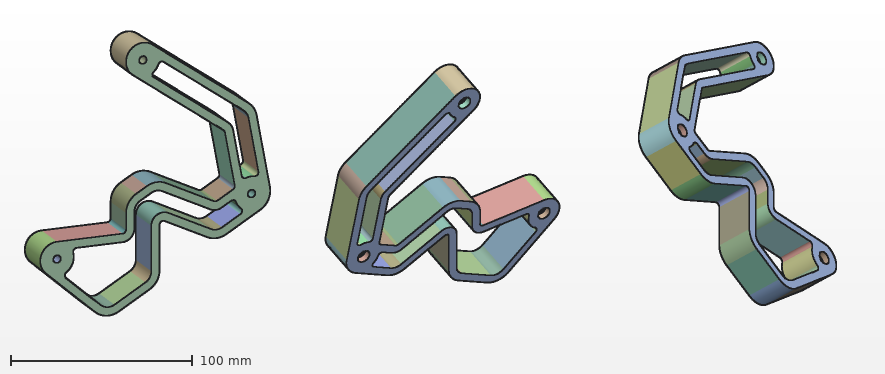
import cadquery as cq
import math


thickness = 22.5
wall = 5.0
boss_radius = 10.0
window_half = boss_radius - wall

pivot_boss = (0.0, 0.0)
arm_boss = (64.6, 84.8)
foot_boss = (115.58, -23.84)
boss_centres = [pivot_boss, arm_boss, foot_boss]

hole_diameter = 4.4
counterbore_diameter = 7.5
counterbore_depth = 4.2

inner_bend = 2.0
middle_bend = inner_bend + wall
outer_bend = middle_bend + wall
window_end_radius = 2.0
match_tolerance = 0.001
square = 0.0


def run_through(point, heading):
    """Run with the given heading that passes through a point."""
    angle = math.radians(heading)
    offset = point[1] * math.cos(angle) - point[0] * math.sin(angle)
    return (heading, offset)


def shifted(run, distance):
    """Parallel run moved to the left of the heading."""
    return (run[0], run[1] + distance)


ramp_heading = -30.0
pivot_inset = 1.25

arm = run_through(arm_boss, 35.4)
upright = (79.45, pivot_inset)
ramp = (ramp_heading, -pivot_inset)
climb = (26.0, -21.33)
crest = (ramp_heading, 31.32)
drop = run_through(arm_boss, -90.0)
shelf = run_through(foot_boss, 0.0)
brace = run_through(foot_boss, 41.44)

upright_end = run_through(pivot_boss, upright[0] + 90)
ramp_end = run_through(pivot_boss, ramp[0] + 90)
arm_end = run_through(arm_boss, arm[0] + 90)
foot_end = run_through(foot_boss, 90.0)


profile_plane = cq.Plane(origin=(0, 0, 0), xDir=(0, -1, 0), normal=(-1, 0, 0))


def meeting_point(first, second):
    """Intersection of two runs."""
    a, b = math.radians(first[0]), math.radians(second[0])
    turn = math.sin(b - a)
    u = (first[1] * math.cos(b) - second[1] * math.cos(a)) / turn
    v = (first[1] * math.sin(b) - second[1] * math.sin(a)) / turn
    return cq.Vector(u, v)


def rounded_prism(sides):
    """Extrude a closed loop of (run, radius of the corner to the next run)."""
    count = len(sides)
    corners = [meeting_point(sides[i][0], sides[(i + 1) % count][0]) for i in range(count)]
    sketch = cq.Workplane(profile_plane)
    for i, (_, radius) in enumerate(sides):
        corner = corners[i]
        to_last = (corners[i - 1] - corner).normalized()
        to_next = (corners[(i + 1) % count] - corner).normalized()
        half_angle = to_last.getAngle(to_next) / 2
        setback = radius / math.tan(half_angle)
        bisector = (to_last + to_next).normalized()
        start = corner + to_last * setback
        middle = corner + bisector * (radius / math.sin(half_angle) - radius)
        end = corner + to_next * setback
        if i == 0:
            sketch = sketch.moveTo(start.x, start.y)
        else:
            sketch = sketch.lineTo(start.x, start.y)
        if radius > 0:
            sketch = sketch.threePointArc((middle.x, middle.y), (end.x, end.y))
    return sketch.close().extrude(-thickness)


def discs(centres, diameter, depth):
    """Cylinders starting at the -X face."""
    return cq.Workplane(profile_plane).pushPoints(centres).circle(diameter / 2).extrude(-depth)


def make_body():
    """Solid outline of the whole band, with round ends at the arm and foot."""
    half = boss_radius
    outline = rounded_prism([
        (shifted(arm, half), outer_bend),
        (shifted(upright, half), outer_bend),
        (shifted(ramp, -half), outer_bend),
        (shifted(climb, -half), inner_bend),
        (shifted(drop, -half), outer_bend),
        (shifted(ramp, -half), outer_bend),
        (shifted(brace, -half), boss_radius),
        (shifted(shelf, half), inner_bend),
        (shifted(drop, half), outer_bend),
        (shifted(crest, half), outer_bend),
        (shifted(climb, half), inner_bend),
        (shifted(ramp, half), inner_bend),
        (shifted(upright, -half), inner_bend),
        (shifted(arm, -half), square),
        (arm_end, square),
    ])
    return outline.union(discs([arm_boss], 2 * boss_radius, thickness))


def make_window(sides, end_bosses):
    """Through window that stops at a round boss at each end."""
    def meets_boss(edge):
        centre = edge.Center()
        reach = [math.hypot(-centre.y - u, centre.z - v) for u, v in end_bosses]
        return min(abs(r - boss_radius) for r in reach) < match_tolerance

    window = rounded_prism(sides).cut(discs(end_bosses, 2 * boss_radius, thickness))
    return window.edges("|X").filter(meets_boss).fillet(window_end_radius)


def make_arm_window():
    """Window from the pivot boss, round the elbow, to the arm boss."""
    half = window_half
    return make_window([
        (shifted(arm, half), middle_bend),
        (shifted(upright, half), square),
        (upright_end, square),
        (shifted(upright, -half), middle_bend),
        (shifted(arm, -half), square),
        (arm_end, square),
    ], [pivot_boss, arm_boss])


def make_foot_window():
    """Window from the pivot boss along the ramp, widening toward the foot boss."""
    half = window_half
    return make_window([
        (shifted(ramp, half), middle_bend),
        (shifted(climb, half), middle_bend),
        (shifted(crest, half), middle_bend),
        (shifted(drop, half), middle_bend),
        (shifted(shelf, half), square),
        (foot_end, square),
        (shifted(brace, -half), middle_bend),
        (shifted(ramp, -half), middle_bend),
        (shifted(drop, -half), middle_bend),
        (shifted(climb, -half), middle_bend),
        (shifted(ramp, -half), square),
        (ramp_end, square),
    ], [pivot_boss, foot_boss])


def make_screw_holes():
    """Through holes, counterbored from the -X face."""
    holes = discs(boss_centres, hole_diameter, thickness)
    return holes.union(discs(boss_centres, counterbore_diameter, counterbore_depth))


result = (
    make_body()
    .cut(make_arm_window())
    .cut(make_foot_window())
    .cut(make_screw_holes())
)